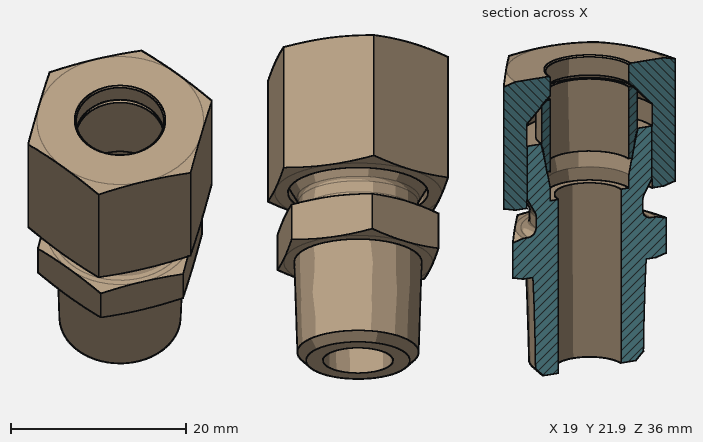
import cadquery as cq
import math


overall_height = 36.0
hex_bottom = 12.02
hex_top = 17.0
flare_start = 19.35
nut_bottom = 20.5
body_top = 28.0
socket_floor = 21.0
ring_bottom = 24.48
nut_bore_start = 33.62
ring_gap = 0.45

hex_sides = 6
nut_width = 19.0
body_width = 17.0
corner_angle = math.radians(15)

through_diameter = 8.0
socket_diameter = 10.0
mouth_diameter = 12.3
sealing_angle = math.radians(12)
thread_diameter = 16.0
neck_diameter = 13.7
neck_fillet = 1.0
runout_angle = math.radians(30)
taper_top_diameter = 14.55
taper_ratio = 1 / 16
end_chamfer = 1.0

nut_bore_diameter = 10.0
nut_bore_chamfer = 0.18
ring_hole_diameter = socket_diameter


def revolve_profile(profile):
    """Turn a closed (radius, height) outline around Z."""
    return profile.close().revolve(360, (0, 0, 0), (0, 1, 0))


def beveled_hex(width, bottom, top):
    """Hexagonal prism with flats facing +-X and both ends bevelled at the corners."""
    corner_radius = width / 2 / math.cos(math.pi / hex_sides)
    drop = (corner_radius - width / 2) * math.tan(corner_angle)
    prism = (
        cq.Workplane("XY", origin=(0, 0, bottom))
        .polygon(hex_sides, 2 * corner_radius)
        .extrude(top - bottom)
        .rotate((0, 0, 0), (0, 0, 1), 180 / hex_sides)
    )
    envelope = revolve_profile(
        cq.Workplane("XZ")
        .moveTo(0, bottom)
        .lineTo(width / 2, bottom)
        .lineTo(corner_radius, bottom + drop)
        .lineTo(corner_radius, top - drop)
        .lineTo(width / 2, top)
        .lineTo(0, top)
    )
    return prism.intersect(envelope)


def tapered_stud():
    """Tapered pipe stud below the body hex, smooth and without a thread form."""
    top_radius = taper_top_diameter / 2
    edge_radius = top_radius - (hex_bottom - end_chamfer) * taper_ratio / 2
    return revolve_profile(
        cq.Workplane("XZ")
        .lineTo(edge_radius - end_chamfer, 0)
        .lineTo(edge_radius, end_chamfer)
        .lineTo(top_radius, hex_bottom)
        .lineTo(0, hex_bottom)
    )


def neck_and_thread():
    """Relief neck above the hex, its flared runout and the cylinder that carries the nut."""
    neck_radius = neck_diameter / 2
    thread_radius = thread_diameter / 2
    diagonal = neck_fillet * math.sqrt(0.5)
    arc_center_radius = neck_radius + neck_fillet

    lower_arc_center = hex_top + neck_fillet

    flare_radius = arc_center_radius - neck_fillet * math.cos(runout_angle)
    flare_end = flare_start + neck_fillet * math.sin(runout_angle)
    flare_middle = (
        arc_center_radius - neck_fillet * math.cos(runout_angle / 2),
        flare_start + neck_fillet * math.sin(runout_angle / 2),
    )
    runout_top = flare_end + (thread_radius - flare_radius) / math.tan(runout_angle)

    return revolve_profile(
        cq.Workplane("XZ")
        .moveTo(0, hex_top)
        .lineTo(arc_center_radius, hex_top)
        .threePointArc(
            (arc_center_radius - diagonal, lower_arc_center - diagonal),
            (neck_radius, lower_arc_center),
        )
        .lineTo(neck_radius, flare_start)
        .threePointArc(flare_middle, (flare_radius, flare_end))
        .lineTo(thread_radius, runout_top)
        .lineTo(thread_radius, body_top)
        .lineTo(0, body_top)
    )


def sealing_cone_depth():
    """Depth of the sealing cone between its mouth and the tube socket."""
    return (mouth_diameter - socket_diameter) / 2 / math.tan(sealing_angle)


def make_body():
    """Stud, hex and nut carrier in one piece, bored through with a tube socket at the top."""
    bore = revolve_profile(
        cq.Workplane("XZ")
        .lineTo(through_diameter / 2, 0)
        .lineTo(through_diameter / 2, socket_floor)
        .lineTo(socket_diameter / 2, socket_floor)
        .lineTo(socket_diameter / 2, body_top - sealing_cone_depth())
        .lineTo(mouth_diameter / 2, body_top)
        .lineTo(0, body_top)
    )
    hexagon = beveled_hex(body_width, hex_bottom, hex_top)
    return tapered_stud().union(hexagon).union(neck_and_thread()).cut(bore)


def make_nut():
    """Union nut; its 45 degree inner cone seats on the cutting ring."""
    bore_radius = nut_bore_diameter / 2
    thread_radius = thread_diameter / 2
    cavity = revolve_profile(
        cq.Workplane("XZ")
        .moveTo(0, nut_bottom)
        .lineTo(thread_radius, nut_bottom)
        .lineTo(thread_radius, nut_bore_start - (thread_radius - bore_radius))
        .lineTo(bore_radius, nut_bore_start)
        .lineTo(bore_radius, overall_height - nut_bore_chamfer)
        .lineTo(bore_radius + nut_bore_chamfer, overall_height)
        .lineTo(0, overall_height)
    )
    return beveled_hex(nut_width, nut_bottom, overall_height).cut(cavity)


def make_cutting_ring():
    """Ring wedged between the sealing cone of the body and the inner cone of the nut."""
    hole_radius = ring_hole_diameter / 2
    outer_radius = mouth_diameter / 2
    ring_top = nut_bore_start - ring_gap
    top_radius = nut_bore_diameter / 2 + ring_gap
    tip_radius = outer_radius - (body_top - ring_bottom) * math.tan(sealing_angle)
    return revolve_profile(
        cq.Workplane("XZ")
        .moveTo(hole_radius, ring_bottom)
        .lineTo(tip_radius, ring_bottom)
        .lineTo(outer_radius, body_top)
        .lineTo(outer_radius, ring_top - (outer_radius - top_radius))
        .lineTo(top_radius, ring_top)
        .lineTo(hole_radius, ring_top)
    )


body = make_body()
nut = make_nut()
cutting_ring = make_cutting_ring()

result = cq.Compound.makeCompound([body.val(), nut.val(), cutting_ring.val()])